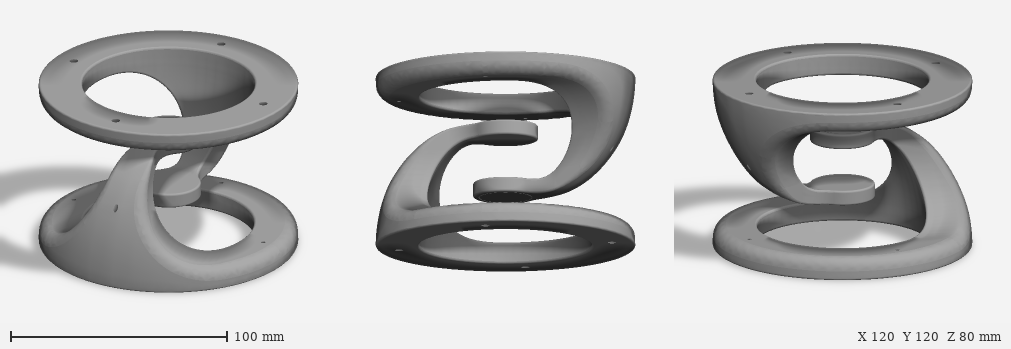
import cadquery as cq
import math


STACK_HEIGHT = 80.0
BASE_RADIUS = 60.0

RING_INNER_RADIUS = 40.0
RING_THICKNESS = 10.0
HUB_RADIUS = 15.0
HUB_BOTTOM = 50.0
HUB_THICKNESS = 7.0
ARM_HALF_ANGLE = 15.0
FLARE_RADIUS = 35.0
NECK_RADIUS = 15.0
RIM_FILLET = 6.0
TAPER_START = 26.4
EDGE_FILLET = 1.0

HOLE_COUNT = 4
HOLE_CIRCLE_RADIUS = 50.0
PILOT_DIAMETER = 2.0
BORE_DIAMETER = 4.0
BORE_DEPTH = 5.0

DISC_DIAMETER = 24.0
DISC_THICKNESS = 5.0
POCKET_DIAMETER = 25.0

HUB_TOP = HUB_BOTTOM + HUB_THICKNESS
FLARE_TOP = RING_THICKNESS + FLARE_RADIUS
OUTER_DOME_SPAN = BASE_RADIUS - HUB_RADIUS
INNER_DOME_SPAN = RING_INNER_RADIUS - HUB_RADIUS
DISC_BOTTOM = HUB_TOP - DISC_THICKNESS
BEYOND = 2 * BASE_RADIUS
TOLERANCE = 0.01


def dome_shell():
    """Flat-topped dome of elliptical section, turned about Z."""
    return (
        cq.Workplane("XZ")
        .moveTo(0, HUB_TOP)
        .lineTo(HUB_RADIUS, HUB_TOP)
        .ellipseArc(OUTER_DOME_SPAN, HUB_TOP, 0, 90, startAtCurrent=True, sense=-1)
        .lineTo(RING_INNER_RADIUS, 0)
        .ellipseArc(INNER_DOME_SPAN, HUB_BOTTOM, 0, 90, startAtCurrent=True)
        .lineTo(0, HUB_BOTTOM)
        .close()
        .revolve(360, (0, 0), (0, 1))
    )


def hub_and_neck():
    """Column whose outline is the hub, blended by two concave arcs into the sides of the arm."""
    side = math.radians(ARM_HALF_ANGLE)
    centre_distance = HUB_RADIUS + NECK_RADIUS
    spread = math.asin(NECK_RADIUS / centre_distance)

    def polar(distance, angle):
        return cq.Vector(distance * math.sin(angle), -distance * math.cos(angle))

    def mirrored(point):
        return (-point.x, point.y)

    centre = polar(centre_distance, side + spread)
    hub_end = polar(HUB_RADIUS, side + spread)
    arm_end = polar(centre_distance * math.cos(spread), side)
    towards_middle = ((hub_end + arm_end) / 2 - centre).normalized()
    middle = centre + towards_middle * NECK_RADIUS
    return (
        cq.Workplane("XY")
        .moveTo(arm_end.x, arm_end.y)
        .threePointArc((middle.x, middle.y), (hub_end.x, hub_end.y))
        .threePointArc((0, HUB_RADIUS), mirrored(hub_end))
        .threePointArc(mirrored(middle), mirrored(arm_end))
        .close()
        .extrude(BEYOND)
    )


def flared_side():
    """Half-space bounded by the +X side of the arm, which flares out until level with the ring.

    The flare is drawn as two arcs, so that an edge ends where the rim fillet starts to shrink.
    """

    def flare_point(height):
        return (FLARE_RADIUS - math.sqrt(FLARE_RADIUS**2 - (FLARE_TOP - height) ** 2), height)

    upper_middle = (FLARE_TOP + TAPER_START) / 2
    lower_middle = (TAPER_START + RING_THICKNESS) / 2
    return (
        cq.Workplane("XZ")
        .moveTo(0, BEYOND)
        .lineTo(0, FLARE_TOP)
        .threePointArc(flare_point(upper_middle), flare_point(TAPER_START))
        .threePointArc(flare_point(lower_middle), (FLARE_RADIUS, RING_THICKNESS))
        .lineTo(FLARE_RADIUS, 0)
        .lineTo(-BEYOND, 0)
        .lineTo(-BEYOND, BEYOND)
        .close()
        .extrude(BEYOND, both=True, clean=False)
        .rotate((0, 0, 0), (0, 0, 1), ARM_HALF_ANGLE)
    )


def arm_column():
    """Wedge with flared sides that lies on the -Y side of the hub axis."""
    side = flared_side()
    front = cq.Workplane("XY").box(2 * BEYOND, BEYOND, BEYOND, centered=(True, False, False))
    front = front.translate((0, -BEYOND, 0))
    return front.intersect(side, clean=False).intersect(side.mirror("YZ"), clean=False)


def stand_blank():
    """Stand with sharp edges: the part of the dome shell within the ring, arm, neck and hub."""
    ring_slab = cq.Workplane("XY").box(2 * BEYOND, 2 * BEYOND, RING_THICKNESS, centered=(True, True, False))
    kept = ring_slab.union(arm_column(), clean=False).union(hub_and_neck(), clean=False)
    return dome_shell().intersect(kept, clean=False)


def lies_on_dome(edge, span, height):
    """True for an edge cut across the elliptical dome of this radial span and height."""
    if edge.geomType() != "BSPLINE":
        return False
    for fraction in (0, 0.5, 1):
        point = edge.positionAt(fraction)
        reach = math.hypot(point.x, point.y) - HUB_RADIUS
        if abs(math.hypot(reach / span, point.z / height) - 1) > TOLERANCE:
            return False
    return True


def hub_rim(edge, height):
    """True for the free rim of the hub at this height."""
    centre = edge.Center()
    return edge.geomType() == "CIRCLE" and abs(centre.z - height) < TOLERANCE and centre.y > 0


def outer_radius(height):
    """Fillet radius where an outer edge has an end at this height."""
    if height < TAPER_START + TOLERANCE:
        return RIM_FILLET
    if height < FLARE_TOP + TOLERANCE:
        return (RIM_FILLET + EDGE_FILLET) / 2
    return EDGE_FILLET


def round_outer_edges(solid):
    """Broad fillet on the ring and flares, tapering along the arm to a fine one on neck and hub."""
    edges = [
        edge
        for edge in solid.Edges()
        if hub_rim(edge, HUB_TOP) or lies_on_dome(edge, OUTER_DOME_SPAN, HUB_TOP)
    ]
    builder = cq.occ_impl.shapes.BRepFilletAPI_MakeFillet(solid.wrapped)
    for edge in edges:
        builder.Add(edge.wrapped)
    for edge in edges:
        contour = builder.Contour(edge.wrapped)
        for vertex in edge.Vertices():
            builder.SetRadius(outer_radius(vertex.Z), contour, vertex.wrapped)
    return cq.Shape.cast(builder.Shape()).Solids()[0]


def round_inner_edges(solid):
    """Fine fillet around the underside of the hub, neck and arm and the mouth of the ring."""
    edges = [
        edge
        for edge in solid.Edges()
        if hub_rim(edge, HUB_BOTTOM) or lies_on_dome(edge, INNER_DOME_SPAN, HUB_BOTTOM)
    ]
    return solid.fillet(EDGE_FILLET, edges)


def screw_holes():
    """Pilot holes right through, each with a wider bore from the base."""
    spots = cq.Workplane("XY").polarArray(HOLE_CIRCLE_RADIUS, 0, 360, HOLE_COUNT)
    pilots = spots.circle(PILOT_DIAMETER / 2).extrude(HUB_TOP)
    bores = spots.circle(BORE_DIAMETER / 2).extrude(BORE_DEPTH)
    return pilots.union(bores)


def hub_cylinder(diameter):
    """Cylinder on the hub axis, flush with the top of the hub."""
    return cq.Workplane("XY", origin=(0, 0, DISC_BOTTOM)).circle(diameter / 2).extrude(DISC_THICKNESS)


def make_stand():
    """Lower stand, with its screw holes and the pocket for its disc."""
    rounded = round_inner_edges(round_outer_edges(stand_blank().val()))
    base_rounded = cq.Workplane(rounded).faces("<Z").edges().fillet(EDGE_FILLET)
    return base_rounded.cut(screw_holes()).cut(hub_cylinder(POCKET_DIAMETER))


def make_disc():
    """Lower disc, loose in its pocket."""
    return hub_cylinder(DISC_DIAMETER)


bodies = []
for turn in (0, 180):
    for make_body in (make_stand, make_disc):
        body = make_body().rotate((0, 0, STACK_HEIGHT / 2), (1, 0, STACK_HEIGHT / 2), turn)
        bodies.append(body.solids().val())

result = cq.Compound.makeCompound(bodies)